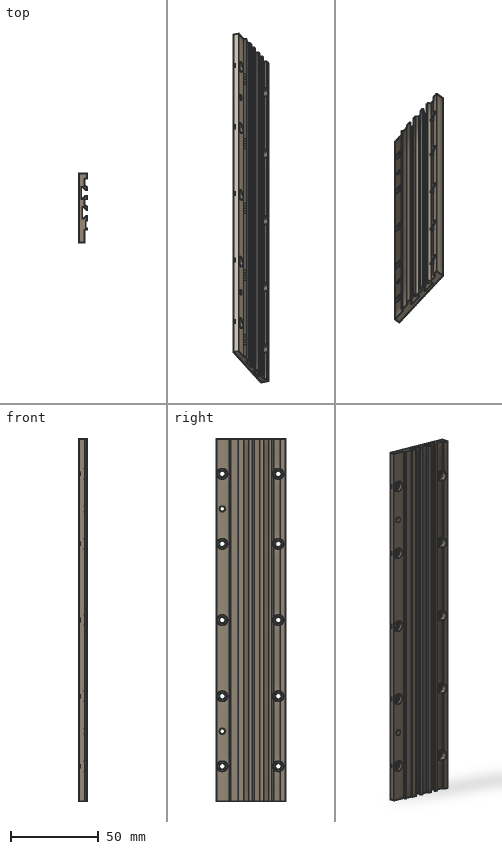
import cadquery as cq
THICKNESS = 4.8
WIDTH = 39.6
LENGTH = 207.0

GROOVE_FLOOR = 3.3
STEP_FLOOR = 4.0
UPPER_SLOT_FLOOR = 1.5
LOWER_SLOT_FLOOR = 2.0

SLOT_WIDTH = 6.8
SLOT_MOUTH = 3.1
SLOT_WALL = 0.6
UPPER_SLOT_CENTER = 28.5
LOWER_SLOT_CENTER = 17.1

TOP_LIP_EDGE = 36.6
UPPER_HOOK_TOP = 31.7
UPPER_HOOK_BOTTOM = 24.8
LOWER_HOOK_TOP = 20.6
HOOK_RISE = 1.0
LIP_BEVEL_HEIGHT = 0.1
LIP_BEVEL_DEPTH = 0.5
STEP_TOP = 12.6
STEP_BOTTOM = 8.2
FOOT_LIP_EDGE = 7.4

SCREW_DIAMETER = 3.4
PIN_DIAMETER = 3.0
COUNTERBORE_DIAMETER = 6.0
COUNTERBORE_FLOOR = 0.9
HOLE_Y_LOW = 3.4
HOLE_ROW_SPACING = 32.0
HOLE_Y_HIGH = HOLE_Y_LOW + HOLE_ROW_SPACING
END_MARGIN = 20.0
PIN_OFFSET = 20.0
MIDDLE_SPACING = 43.5


def plate_profile():
    """Cross-section with the ribs and shallow grooves, before the slots are cut."""
    bevel_end = GROOVE_FLOOR + LIP_BEVEL_DEPTH
    return [
        (0, 0),
        (GROOVE_FLOOR, 0),
        (GROOVE_FLOOR, FOOT_LIP_EDGE - LIP_BEVEL_HEIGHT),
        (bevel_end, FOOT_LIP_EDGE),
        (THICKNESS, FOOT_LIP_EDGE),
        (THICKNESS, STEP_BOTTOM),
        (STEP_FLOOR, STEP_BOTTOM),
        (STEP_FLOOR, STEP_TOP),
        (THICKNESS, STEP_TOP),
        (THICKNESS, LOWER_HOOK_TOP),
        (GROOVE_FLOOR, LOWER_HOOK_TOP + HOOK_RISE),
        (GROOVE_FLOOR, UPPER_HOOK_BOTTOM - LIP_BEVEL_HEIGHT),
        (bevel_end, UPPER_HOOK_BOTTOM),
        (THICKNESS, UPPER_HOOK_BOTTOM),
        (THICKNESS, UPPER_HOOK_TOP),
        (GROOVE_FLOOR, UPPER_HOOK_TOP + HOOK_RISE),
        (GROOVE_FLOOR, TOP_LIP_EDGE - LIP_BEVEL_HEIGHT),
        (bevel_end, TOP_LIP_EDGE),
        (THICKNESS, TOP_LIP_EDGE),
        (THICKNESS, WIDTH),
        (0, WIDTH),
    ]


def dovetail_slot(center, floor):
    """Full-length slot with straight walls, then 45-degree flanks up to its mouth."""
    half_width = SLOT_WIDTH / 2
    half_mouth = SLOT_MOUTH / 2
    flank_start = floor + SLOT_WALL
    flank_end = flank_start + half_width - half_mouth
    points = [
        (floor, center - half_width),
        (flank_start, center - half_width),
        (flank_end, center - half_mouth),
        (THICKNESS, center - half_mouth),
        (THICKNESS, center + half_mouth),
        (flank_end, center + half_mouth),
        (flank_start, center + half_width),
        (floor, center + half_width),
    ]
    return cq.Workplane("XY").polyline(points).close().extrude(LENGTH)


def bores(positions, diameter, floor=0.0):
    """Cylinders along X at the given (Y, Z) positions, from the floor to the ribbed face."""
    base = cq.Workplane("YZ").workplane(offset=floor)
    return base.pushPoints(positions).circle(diameter / 2).extrude(THICKNESS - floor)


def screw_positions():
    """Two rows of five, symmetric about the middle of the length."""
    middle = LENGTH / 2
    heights = [
        END_MARGIN,
        middle - MIDDLE_SPACING,
        middle,
        middle + MIDDLE_SPACING,
        LENGTH - END_MARGIN,
    ]
    return [(y, z) for y in (HOLE_Y_LOW, HOLE_Y_HIGH) for z in heights]


def pin_positions():
    """One hole inboard of each end screw in the low row."""
    height = END_MARGIN + PIN_OFFSET
    return [(HOLE_Y_LOW, height), (HOLE_Y_LOW, LENGTH - height)]


plate = cq.Workplane("XY").polyline(plate_profile()).close().extrude(LENGTH)
plate = plate.cut(dovetail_slot(UPPER_SLOT_CENTER, UPPER_SLOT_FLOOR))
plate = plate.cut(dovetail_slot(LOWER_SLOT_CENTER, LOWER_SLOT_FLOOR))
plate = plate.cut(bores(screw_positions(), SCREW_DIAMETER))
plate = plate.cut(bores(screw_positions(), COUNTERBORE_DIAMETER, COUNTERBORE_FLOOR))
result = plate.cut(bores(pin_positions(), PIN_DIAMETER))